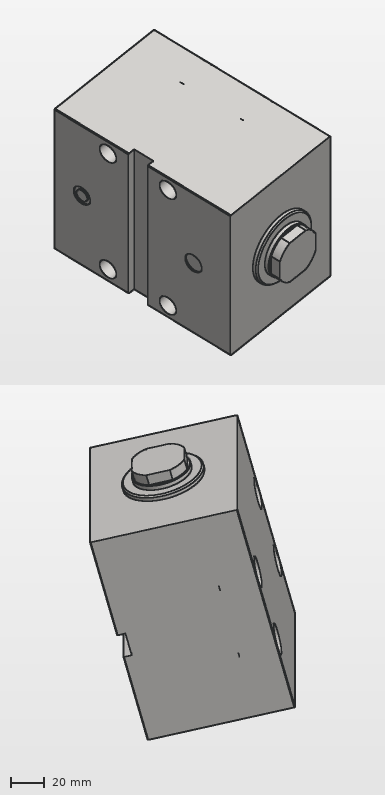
import cadquery as cq

OVERALL_LENGTH = 151.5
BLOCK_LENGTH = 138.0
BLOCK_DEPTH = 90.0
BLOCK_HEIGHT = 115.0
EDGE_CHAMFER = 0.5
CENTRE_Y = BLOCK_DEPTH / 2
CENTRE_Z = BLOCK_HEIGHT / 2

SLOT_START = 58.0
SLOT_WIDTH = 15.0
SLOT_DEPTH = 5.2

HOLE_DIAMETER = 13.0
HOLE_FIRST_X = 42.0
HOLE_PITCH_X = 47
HOLE_PITCH_Z = 95.0
COUNTERBORE_DIAMETER = 19.0
COUNTERBORE_DEPTH = 23.5

PORT_DIAMETER = 13.0
PORT_DEPTH = 1.0
REAR_PORT_X = 21.5
ROD_PORT_X = 109.0
REAR_PORT_CORE_DIAMETER = 8.3

GLAND_DIAMETER = 50
GLAND_THICKNESS = 3.3
GLAND_CHAMFER = 1.0

ROD_DIAMETER = 36.0
ROD_SHOULDER_LENGTH = 6.7
ROD_CHAMFER = 0.5
ROD_TIP_DIAMETER = ROD_DIAMETER - 2 * ROD_CHAMFER
ROD_LENGTH = OVERALL_LENGTH - BLOCK_LENGTH
ACROSS_FLATS = 32.0


def front_cylinder(x, z, diameter, start_y, end_y):
    """Cylinder along +Y between two depths behind the front face."""
    return (
        cq.Workplane("XZ", origin=(x, start_y, z))
        .circle(diameter / 2)
        .extrude(start_y - end_y)
    )


def rod_axis_plane(distance=0):
    """Plane facing +X, centred on the rod axis at a distance beyond the block's +X face."""
    return cq.Workplane("YZ", origin=(BLOCK_LENGTH + distance, CENTRE_Y, CENTRE_Z))


def make_housing():
    body = cq.Workplane("XY").box(BLOCK_LENGTH, BLOCK_DEPTH, BLOCK_HEIGHT, centered=False)
    body = body.edges("|X").chamfer(EDGE_CHAMFER)

    slot = (
        cq.Workplane("XY", origin=(SLOT_START, 0, 0))
        .box(SLOT_WIDTH, SLOT_DEPTH, BLOCK_HEIGHT, centered=False)
    )
    body = body.cut(slot)

    head_seat_y = BLOCK_DEPTH - COUNTERBORE_DEPTH
    for x in (HOLE_FIRST_X, HOLE_FIRST_X + HOLE_PITCH_X):
        for z in (CENTRE_Z - HOLE_PITCH_Z / 2, CENTRE_Z + HOLE_PITCH_Z / 2):
            body = body.cut(front_cylinder(x, z, HOLE_DIAMETER, 0, BLOCK_DEPTH))
            body = body.cut(front_cylinder(x, z, COUNTERBORE_DIAMETER, head_seat_y, BLOCK_DEPTH))

    rod_port = front_cylinder(ROD_PORT_X, CENTRE_Z, PORT_DIAMETER, 0, PORT_DEPTH)
    rear_port = front_cylinder(REAR_PORT_X, CENTRE_Z, PORT_DIAMETER, 0, PORT_DEPTH)
    rear_core = front_cylinder(REAR_PORT_X, CENTRE_Z, REAR_PORT_CORE_DIAMETER, 0, PORT_DEPTH)
    return body.cut(rod_port).cut(rear_port.cut(rear_core))


def make_gland():
    disc = rod_axis_plane().circle(GLAND_DIAMETER / 2).extrude(GLAND_THICKNESS)
    disc = disc.faces(">X").edges().chamfer(GLAND_CHAMFER)
    return disc.cut(rod_axis_plane().circle(ROD_DIAMETER / 2).extrude(GLAND_THICKNESS))


def make_rod():
    shoulder = rod_axis_plane().circle(ROD_DIAMETER / 2).extrude(ROD_SHOULDER_LENGTH)
    shoulder = shoulder.faces(">X").edges().chamfer(ROD_CHAMFER)

    tip_plane = rod_axis_plane(ROD_SHOULDER_LENGTH)
    tip_length = ROD_LENGTH - ROD_SHOULDER_LENGTH
    tip = tip_plane.circle(ROD_TIP_DIAMETER / 2).extrude(tip_length)
    flats = tip_plane.rect(ACROSS_FLATS, ACROSS_FLATS).extrude(tip_length)
    return shoulder.union(tip.intersect(flats))


housing = make_housing()
gland = make_gland()
rod = make_rod()

result = cq.Compound.makeCompound([housing.val(), gland.val(), rod.val()])